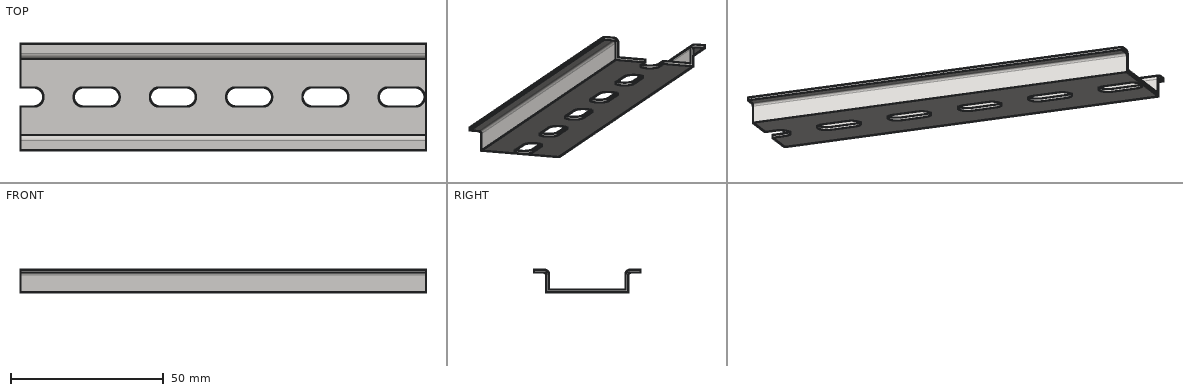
import cadquery as cq

LENGTH = 133.0
WIDTH = 35.0
HEIGHT = 7.5
THICKNESS = 1.0
CHANNEL_WIDTH = 27.0
INNER_BEND_RADIUS = 0.8
OUTER_BEND_RADIUS = INNER_BEND_RADIUS + THICKNESS

SLOT_LENGTH = 15.0
SLOT_WIDTH = 6.2
SLOT_PITCH = 25.0
SLOT_COUNT = 6


def make_side():
    """Wall and outward flange on the +Y side, joined by a rounded bend."""
    outer_face = CHANNEL_WIDTH / 2
    inner_face = outer_face - THICKNESS
    flange_underside = HEIGHT - THICKNESS
    bend_y = outer_face + INNER_BEND_RADIUS
    bend_z = flange_underside - INNER_BEND_RADIUS
    return (
        cq.Workplane("YZ")
        .moveTo(inner_face, 0)
        .lineTo(outer_face, 0)
        .lineTo(outer_face, bend_z)
        .radiusArc((bend_y, flange_underside), INNER_BEND_RADIUS)
        .lineTo(WIDTH / 2, flange_underside)
        .lineTo(WIDTH / 2, HEIGHT)
        .lineTo(bend_y, HEIGHT)
        .radiusArc((inner_face, bend_z), -OUTER_BEND_RADIUS)
        .close()
        .extrude(LENGTH)
    )


def make_rail():
    """Flat floor with a wall and flange along each long edge."""
    floor = cq.Workplane("XY").box(LENGTH, CHANNEL_WIDTH, THICKNESS, centered=(False, True, False))
    side = make_side()
    return floor.union(side).union(side.mirror("XZ"))


def make_slots():
    """Cutters for the evenly spaced slots through the floor."""
    centres = [(index * SLOT_PITCH, 0) for index in range(SLOT_COUNT)]
    return cq.Workplane("XY").pushPoints(centres).slot2D(SLOT_LENGTH, SLOT_WIDTH).extrude(THICKNESS)


result = make_rail().cut(make_slots())